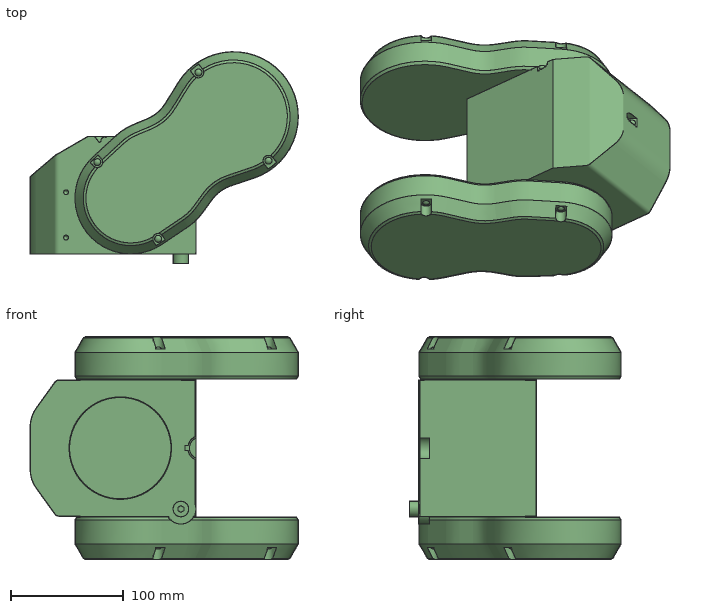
import cadquery as cq
import math


housing_length = 147.3
housing_depth = 104.5
housing_half_height = 60.5
nose_half_height = 28.0
nose_slope_length = 23.3
nose_round = 28.8
shoulder_round = 4.8
nose_depth = 68.8
bevel_corner = (22.4, 87.8)
back_bevel_start = 51.2
nose_corner_round = 2.0
bevel_round = 7.1
front_edge_chamfer = 1.0

window_x = 80.0
window_radius = 45.5
window_draft = 0.5
window_depth = 1.0

screw_x = 133.8
screw_z = -54.0
screw_radius = 7.0
screw_height = 8.3
hex_corner_diameter = 6.0
hex_depth = 3.5
screw_boss_radius = 13.3
screw_boss_thickness = 9.5

notch_x = 151.1
notch_step_depth = 1.0
notch_depth = 9.5
notch_outer_radius = 11.2
notch_inner_radius = 9.8
key_reach = 2.4
key_half_height = 2.1

recess_radius = 4.8
slot_length = 14.3
button_radius = 3.0
button_height = 1.7

recess_reach = 28.5
nose_recess_corner = (7.1, 54.3, 0)
back_recess_corner = (61.5, housing_depth - 5.5, housing_half_height)

dimple_x = 32.0
dimple_ys = (14.8, 55.0)
dimple_radius = 2.1
dimple_depth = 2.4

small_lobe = (89.2, 49.7)
small_radius = 49.5
large_lobe = (180.5, 122.0)
large_radius = 57.5
flank_angle = 4.5
flank_length = 28.3
waist_center = (64.7, 79.0)
waist_radius = 34.3
lobe_spacing = math.dist(small_lobe, large_lobe)
cover_angle = math.degrees(math.atan2(large_lobe[1] - small_lobe[1], large_lobe[0] - small_lobe[0]))

cover_bottom = 61.2
wall_bottom = 63.8
wall_top = 85.0
cone_top = 97.8
cover_top = 99.0
bottom_inset = 1.7
cone_inset = 7.4
top_inset = 9.8

neck_radius = small_radius - 4.8

slot_floor = 88.0
small_lobe_slot_distance = 43.5
small_lobe_slot_angle = 90 + flank_angle
large_lobe_slot_distance = 50.0
large_lobe_slot_angle = 90


def direction(degrees):
    return (math.cos(math.radians(degrees)), math.sin(math.radians(degrees)))


def along(start, heading, distance):
    return (start[0] + distance * heading[0], start[1] + distance * heading[1])


def arc_middle(center, radius, start, end):
    """Middle of the short arc from start to end."""
    chord_middle = ((start[0] + end[0]) / 2, (start[1] + end[1]) / 2)
    return along(center, (chord_middle[0] - center[0], chord_middle[1] - center[1]),
                 radius / math.dist(center, chord_middle))


def crossing_tangent(lobe, lobe_radius, turn):
    """Ends, on a lobe and on the waist circle, of the straight that crosses between them.

    turn is +1 when the waist lies ahead of the lobe and -1 when it lies behind.
    """
    toward_waist = math.degrees(math.atan2(waist_center[1] - lobe[1], waist_center[0] - lobe[0]))
    spread = math.degrees(math.acos((lobe_radius + waist_radius) / math.dist(lobe, waist_center)))
    normal = direction(toward_waist + turn * spread)
    return along(lobe, normal, lobe_radius), along(waist_center, normal, -waist_radius)


def side_points():
    """Points of the left side, from the end of the small lobe to the start of the large lobe.

    The shoulder after the flank is as round as the small lobe.
    """
    flank_normal = direction(90 + flank_angle)
    flank_start = along((0, 0), flank_normal, small_radius)
    flank_end = along(flank_start, direction(flank_angle), flank_length)
    shoulder = along(flank_end, flank_normal, -small_radius)
    large = (lobe_spacing, 0)
    shoulder_end, waist_start = crossing_tangent(shoulder, small_radius, 1)
    large_start, waist_end = crossing_tangent(large, large_radius, -1)
    shoulder_middle = arc_middle(shoulder, small_radius, flank_end, shoulder_end)
    waist_middle = arc_middle(waist_center, waist_radius, waist_start, waist_end)
    return [
        flank_start,
        flank_end,
        shoulder_middle,
        shoulder_end,
        waist_start,
        waist_middle,
        waist_end,
        large_start,
    ]


def draw_side(outline, points):
    """Continue the outline from the first of the side points to the last one."""
    return (
        outline.lineTo(*points[1])
        .threePointArc(points[2], points[3])
        .lineTo(*points[4])
        .threePointArc(points[5], points[6])
        .lineTo(*points[7])
    )


def cover_outline(inset=0.0):
    """Figure-eight outline on the XY plane, moved inward by inset."""
    left = side_points()
    right = [(x, -y) for x, y in reversed(left)]
    outline = draw_side(cq.Workplane("XY").moveTo(*left[0]), left)
    outline = outline.threePointArc((lobe_spacing + large_radius, 0), right[0])
    outline = draw_side(outline, right).threePointArc((-small_radius, 0), left[0]).close()
    return outline.offset2D(-inset) if inset else outline


def cover_layer(bottom, top, bottom_edge_inset=0.0, top_edge_inset=0.0):
    """Slice of the cover whose outline moves inward evenly from bottom to top."""
    height = top - bottom
    taper = math.degrees(math.atan((top_edge_inset - bottom_edge_inset) / height))
    return cover_outline(bottom_edge_inset).extrude(height, taper=taper).translate((0, 0, bottom))


def button_head():
    """Domed screw head standing on the XY plane."""
    dome_radius = (button_radius**2 + button_height**2) / (2 * button_height)
    half_sweep = math.degrees(math.asin(button_radius / dome_radius)) / 2
    dome_middle = along((0, button_height - dome_radius), direction(90 - half_sweep), dome_radius)
    return (
        cq.Workplane("XZ")
        .lineTo(button_radius, 0)
        .threePointArc(dome_middle, (0, button_height))
        .close()
        .revolve(360, (0, 0, 0), (0, 1, 0))
    )


def recess_cutter(depth):
    """Round-ended slot standing on the XY plane and open toward +X."""
    opening = cq.Workplane("XY").rect(slot_length, 2 * recess_radius).extrude(depth)
    return cq.Workplane("XY").circle(recess_radius).extrude(depth).union(
        opening.translate((slot_length / 2, 0, 0))
    )


def add_cover_screw(cover, lobe_x, distance, angle):
    """Recess in the cover, open outward along angle, with a screw head on its floor."""
    place = (*along((lobe_x, 0), direction(angle), distance), slot_floor)
    slot = recess_cutter(cover_top - slot_floor).rotate((0, 0, 0), (0, 0, 1), angle)
    return cover.cut(slot.translate(place)).union(button_head().translate(place))


def make_cover():
    """Upper cover with its neck, in place on the housing."""
    cover = cq.Workplane("XY").circle(neck_radius).extrude(wall_bottom - housing_half_height)
    cover = cover.translate((0, 0, housing_half_height))
    lip = cover_layer(-wall_bottom, -cover_bottom, 0, bottom_inset).mirror("XY")
    cover = cover.union(lip)
    cover = cover.union(cover_layer(wall_bottom, wall_top))
    cover = cover.union(cover_layer(wall_top, cone_top, 0, cone_inset))
    cover = cover.union(cover_layer(cone_top, cover_top, cone_inset, top_inset))
    for side in (1, -1):
        cover = add_cover_screw(cover, 0, small_lobe_slot_distance, side * small_lobe_slot_angle)
        cover = add_cover_screw(cover, lobe_spacing, large_lobe_slot_distance, side * large_lobe_slot_angle)
    return cover.rotate((0, 0, 0), (0, 0, 1), cover_angle).translate((*small_lobe, 0))


def make_housing():
    """Block given by its plan outline and by its side outline with the sloped nose."""
    plan = (
        cq.Workplane("XY")
        .polyline([
            (0, 0),
            (0, nose_depth),
            bevel_corner,
            (back_bevel_start, housing_depth),
            (housing_length, housing_depth),
            (housing_length, front_edge_chamfer),
            (housing_length - front_edge_chamfer, 0),
        ])
        .close()
        .extrude(housing_half_height, both=True)
    )
    for corner, radius in (((0, nose_depth), nose_corner_round), (bevel_corner, bevel_round)):
        plan = plan.edges(cq.selectors.NearestToPointSelector((*corner, 0))).fillet(radius)
    side = (
        cq.Workplane("XZ")
        .polyline([
            (0, -nose_half_height),
            (0, nose_half_height),
            (nose_slope_length, housing_half_height),
            (housing_length, housing_half_height),
            (housing_length, -housing_half_height),
            (nose_slope_length, -housing_half_height),
        ])
        .close()
        .extrude(-housing_depth)
    )
    side = side.edges("|Y and <X").fillet(nose_round)
    for z in (housing_half_height, -housing_half_height):
        corner = (nose_slope_length, housing_depth / 2, z)
        side = side.edges(cq.selectors.NearestToPointSelector(corner)).fillet(shoulder_round)
    return plan.intersect(side)


def front_plane(x, z):
    """Workplane on the front face whose extrusions run back into the housing."""
    return cq.Workplane(cq.Plane((x, 0, z), xDir=(0, 0, 1), normal=(0, 1, 0)))


def cut_window(body):
    draft = math.degrees(math.atan(window_draft / window_depth))
    return body.cut(front_plane(window_x, 0).circle(window_radius).extrude(window_depth, taper=draft))


def add_front_screw(body):
    boss = front_plane(screw_x, screw_z).circle(screw_boss_radius).extrude(screw_boss_thickness)
    block_end = cq.Workplane("XY").box(
        housing_length, housing_depth, 4 * housing_half_height, centered=(False, False, True)
    )
    head = front_plane(screw_x, screw_z).circle(screw_radius).extrude(-screw_height)
    socket = front_plane(screw_x, screw_z).polygon(6, hex_corner_diameter).extrude(hex_depth)
    return body.union(boss.intersect(block_end)).union(head).cut(socket.translate((0, -screw_height, 0)))


def cut_edge_notch(body):
    step = front_plane(notch_x, 0).circle(notch_outer_radius).extrude(notch_step_depth)
    bore = front_plane(notch_x, 0).circle(notch_inner_radius).extrude(notch_depth)
    key_length = key_reach + notch_outer_radius
    key = (
        front_plane(notch_x - key_length / 2, 0)
        .rect(2 * key_half_height, key_length)
        .extrude(notch_step_depth)
    )
    return body.cut(step).cut(bore).cut(key)


def add_tilted_screw(body, corner, opening_angle):
    """Recess cut square to the cover axis, with a screw head on its floor.

    The floor runs from its deepest corner out of the housing along opening_angle in the XY plane.
    """
    opening = direction(opening_angle)
    outward = direction(cover_angle + 90)
    center = (*along(corner, opening, recess_radius), corner[2])
    floor = cq.Plane(center, xDir=(*opening, 0), normal=(*outward, 0)).location
    recess = recess_cutter(recess_reach).val().moved(floor)
    head = cq.Workplane(button_head().val().moved(floor)).intersect(body)
    return body.cut(cq.Workplane(recess)).union(head)


def cut_top_dimples(body):
    for y in dimple_ys:
        tip = cq.Vector(dimple_x, y, housing_half_height - dimple_depth)
        body = body.cut(cq.Workplane(cq.Solid.makeCone(0, dimple_radius, dimple_depth, tip)))
    return body


housing = make_housing()
housing = cut_window(housing)
housing = add_front_screw(housing)
housing = cut_edge_notch(housing)
housing = add_tilted_screw(housing, nose_recess_corner, cover_angle + 180)
housing = add_tilted_screw(housing, back_recess_corner, cover_angle)
housing = cut_top_dimples(housing)
upper_cover = make_cover()
lower_cover = upper_cover.mirror("XY")
result = housing.union(upper_cover).union(lower_cover)